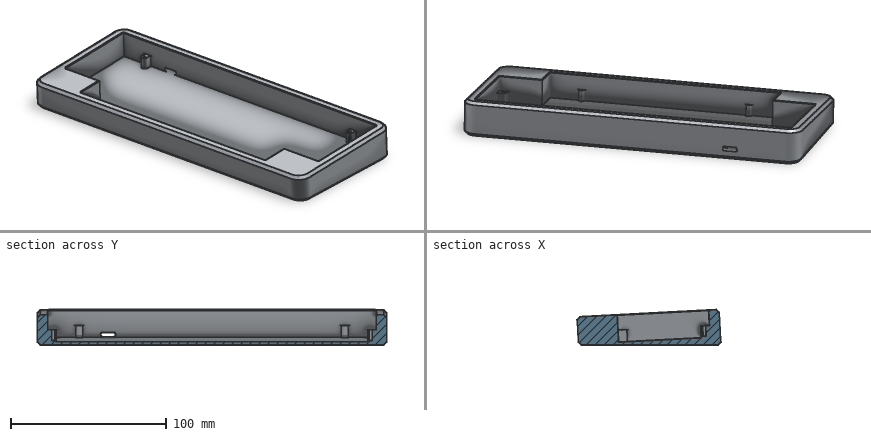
import cadquery as cq
import math

length = 225.3
depth = 92.0
tilt = 3.0
top_height = 20.7
corner_radius = 9.0
edge_chamfer = 2.0

wall = 7.0
mouth_chamfer = 0.5
floor_height = 3.2
base_thickness = 1.53
step_depth = 58.8
front_bay_half = 77.0
root_fillet = 1.0

boss_radius = 2.3
front_boss_radius = 1.7
boss_drop = 10.0
screw_diameter = 1.8
screw_depth = 6.8
screw_inset = 3.4
back_boss_x = 85.6
front_boss_x = 55.9
front_boss_inset = 0.5

port_x = -67.0
port_width = 9.5
port_height = 3.0
port_fillet = 1.1

margin = 4.5
pocket_half = length / 2 - wall
back_y = depth / 2 - wall
front_y = -back_y
step_y = back_y - step_depth
boss_z = top_height - boss_drop
back_screw_y = back_y - screw_inset
corner_screw_x = pocket_half - screw_inset
corner_screw_y = step_y + screw_inset
front_boss_y = front_y + front_boss_inset
front_root = math.sqrt(front_boss_radius**2 - front_boss_inset**2)
slope_drop = depth * math.tan(math.radians(tilt))

bay_corners = [(-front_bay_half, front_y), (front_bay_half, front_y)]
back_corners = [(-pocket_half, back_y), (pocket_half, back_y)]
shoulder_corners = [(-pocket_half, step_y), (pocket_half, step_y)]


def tilted(shape):
    """Turn a shape from the frame of the top face to the frame of the base."""
    return shape.rotate((0, 0, 0), (1, 0, 0), tilt)


def level_slab(z_top):
    """Level slab wider than the part, filling everything below a height."""
    thickness = slope_drop + margin + z_top
    slab = cq.Workplane("XY").workplane(offset=z_top - thickness)
    return slab.rect(length + 2 * margin, depth + 2 * margin).extrude(thickness)


def round_upright_edges(solid, corners, radius):
    """Fillet the Z-direction edges that stand at the given (x, y) corners."""
    reach = 0.11
    z_range = 2 * top_height
    picked = []
    for x, y in corners:
        box = cq.selectors.BoxSelector((x - reach, y - reach, -z_range), (x + reach, y + reach, z_range))
        picked += solid.edges("|Z").edges(box).vals()
    return solid.newObject(picked).fillet(radius)


def pocket_prism(z_low, z_high):
    """T-shaped pocket outline, wide at the back, between two heights."""
    wide = cq.Workplane("XY").workplane(offset=z_low)
    wide = wide.moveTo(0, (back_y + step_y) / 2).rect(2 * pocket_half, step_depth).extrude(z_high - z_low)
    bay = cq.Workplane("XY").workplane(offset=z_low)
    bay = bay.rect(2 * front_bay_half, back_y - front_y).extrude(z_high - z_low)
    return wide.union(bay).clean()


def make_bosses(z_low, z_high):
    """Uprights for the six screw bosses, running into the pocket walls."""
    plane = cq.Workplane("XY").workplane(offset=z_low)
    height = z_high - z_low
    bosses = plane.pushPoints([(-front_boss_x, front_boss_y), (front_boss_x, front_boss_y)])
    bosses = bosses.circle(front_boss_radius).extrude(height)
    for side in (-1, 1):
        post = plane.moveTo(side * back_boss_x, back_screw_y).circle(boss_radius).extrude(height)
        web = plane.moveTo(side * back_boss_x, back_y).rect(2 * boss_radius, 2 * screw_inset).extrude(height)
        corner_size = 2 * (screw_inset + boss_radius)
        corner = plane.moveTo(side * pocket_half, step_y).rect(corner_size, corner_size).extrude(height)
        corner = corner.edges("|Z").fillet(boss_radius)
        bosses = bosses.union(post).union(web).union(corner)
    return bosses


def make_upper_pocket():
    """Pocket space above the boss tops."""
    pocket = pocket_prism(boss_z, top_height)
    return round_upright_edges(pocket, bay_corners + back_corners + shoulder_corners, root_fillet)


def make_lower_pocket():
    """Pocket space around the bosses, down to the sloping floor or the level strip."""
    boss_roots = []
    for side in (-1, 1):
        for edge in (-1, 1):
            boss_roots.append((side * back_boss_x + edge * boss_radius, back_y))
            boss_roots.append((side * front_boss_x + edge * front_root, front_y))
        boss_roots.append((side * pocket_half, corner_screw_y + boss_radius))
        boss_roots.append((side * (corner_screw_x - boss_radius), step_y))
    pocket = pocket_prism(floor_height, boss_z).cut(make_bosses(floor_height, boss_z))
    pocket = round_upright_edges(pocket, bay_corners + back_corners + boss_roots, root_fillet)
    return tilted(pocket).cut(level_slab(base_thickness))


def make_body():
    """Rounded block with a sloping top, a bevelled pocket mouth and a level base."""
    start_z = -slope_drop
    body = cq.Workplane("XY").workplane(offset=start_z).rect(length, depth).extrude(top_height - start_z)
    body = body.edges("|Z").fillet(corner_radius)
    body = body.faces(">Z").chamfer(edge_chamfer)
    body = body.cut(make_upper_pocket())
    mouth = body.faces(">Z").val().innerWires()
    body = body.newObject(mouth).edges().chamfer(mouth_chamfer)
    body = tilted(body).cut(level_slab(0))
    return body.faces("<Z").chamfer(edge_chamfer)


def make_screw_holes():
    """Blind screw holes in the back and shoulder bosses."""
    places = []
    for side in (-1, 1):
        places.append((side * back_boss_x, back_screw_y))
        places.append((side * corner_screw_x, corner_screw_y))
    holes = cq.Workplane("XY").workplane(offset=boss_z).pushPoints(places)
    return tilted(holes.circle(screw_diameter / 2).extrude(-screw_depth))


def make_port():
    """Rounded opening through the back wall, level with the pocket floor."""
    port_length = wall + 2 * margin
    port = cq.Workplane("XY").box(port_width, port_length, port_height).edges("|Y").fillet(port_fillet)
    return tilted(port.translate((port_x, back_y + wall / 2, floor_height + port_height / 2)))


result = make_body().cut(make_lower_pocket()).cut(make_screw_holes()).cut(make_port())